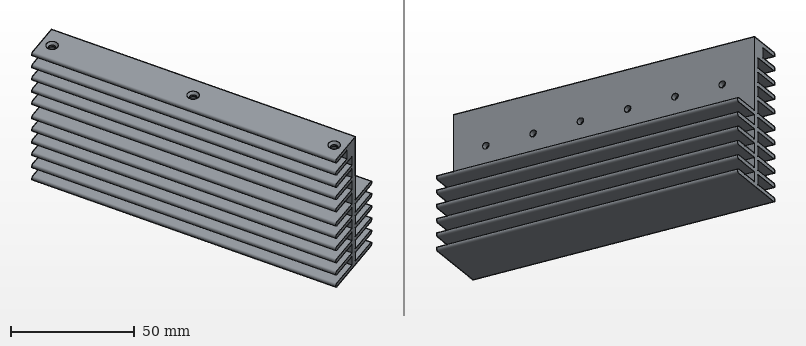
import cadquery as cq

length = 140.0
width = 30.7
height = 68.0

web_thickness = 3.0

fin_thickness = 2.0
lower_fin_count = 6
upper_fin_count = 5
lower_stack_rise = 32.5
fin_pitch = lower_stack_rise / (lower_fin_count - 1)

block_depth = 7.1

web_hole_diameter = 3.0
web_hole_count = 6
web_hole_pitch = 22.0
web_hole_height = 50.1

screw_hole_diameter = 3.0
countersink_diameter = 5.0
countersink_angle = 90
screw_hole_count = 3
screw_hole_pitch = 65.0
screw_hole_offset = 7.3

web_back = web_thickness / 2
block_front = web_back - block_depth
screw_hole_y = -screw_hole_offset


def bar(y_min, y_max, z_min, z_max):
    """Full-length rectangular bar."""
    block = cq.Workplane("XY").box(length, y_max - y_min, z_max - z_min, centered=(True, False, False))
    return block.translate((0, y_min, z_min))


def double_fin(z_min):
    """Fin on both sides of the web, rounded at both tips."""
    fin = cq.Workplane("YZ").slot2D(width, fin_thickness).extrude(length / 2, both=True)
    return fin.translate((0, 0, z_min + fin_thickness / 2))


def front_fin(z_min):
    """Fin on the front of the web only."""
    front_half = bar(-width / 2, 0, z_min, z_min + fin_thickness)
    return double_fin(z_min).intersect(front_half)


body = bar(-web_back, web_back, 0, height)
body = body.union(bar(block_front, web_back, height - fin_pitch - fin_thickness, height))
for index in range(lower_fin_count):
    body = body.union(double_fin(index * fin_pitch))
for index in range(upper_fin_count):
    body = body.union(front_fin(height - fin_thickness - index * fin_pitch))

web_holes = (
    cq.Workplane("XZ", origin=(0, 0, web_hole_height))
    .rarray(web_hole_pitch, 1.4, web_hole_count, 1)
    .circle(web_hole_diameter / 2)
    .extrude(width, both=True)
)

result = (
    body.cut(web_holes)
    .copyWorkplane(cq.Workplane("XY", origin=(0, screw_hole_y, height)))
    .rarray(screw_hole_pitch, 1.4, screw_hole_count, 1)
    .cskHole(screw_hole_diameter, countersink_diameter, countersink_angle, depth=2 * fin_thickness)
)